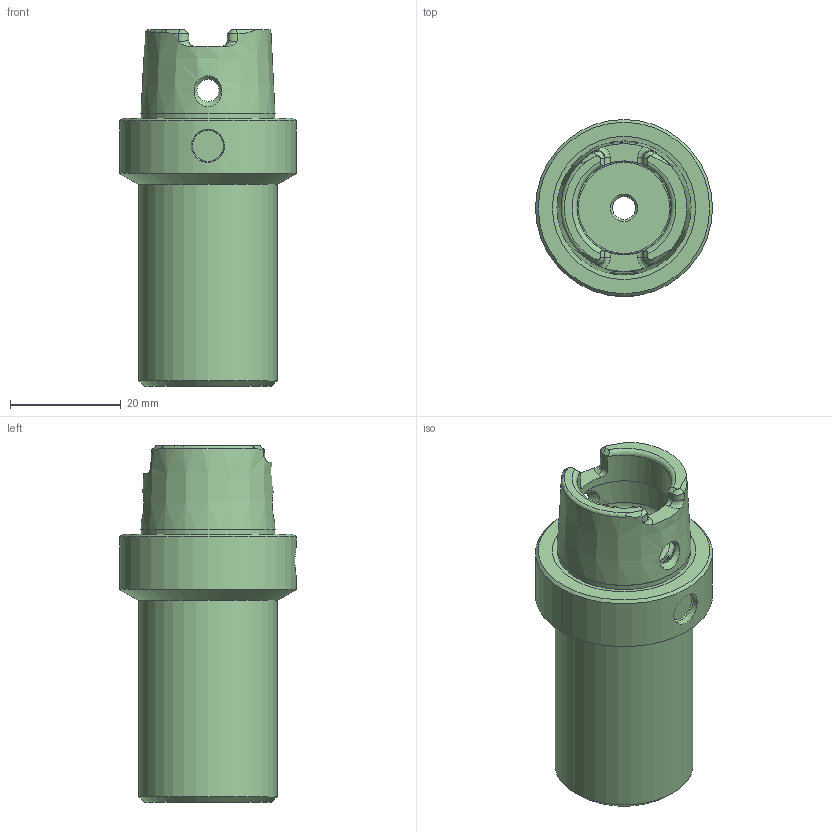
import cadquery as cq
import math

rim_height = 16.0
taper_slope = 1 / 20
gauge_radius = 24.007 / 2
gauge_height = 3.2
taper_start = 0.8
neck_radius = 24.13 / 2
relief_radius = 12.95
relief_depth = 0.15
rim_outer_fillet = 0.6
rim_inner_fillet = 0.9

flange_radius = 32.0 / 2
flange_bottom = -10.0
flange_chamfer = 0.5
body_radius = 25.0 / 2
body_top = -12.0
body_bottom = rim_height - 64.5
body_chamfer = 1.0

bore_radius = 17.0 / 2
undercut_radius = 20.5 / 2
lip_height = 9.4
lip_angle = 30.0
floor_height = 1.35
floor_fillet = 2.0
coolant_radius = 4.2 / 2
coolant_chamfer = 0.4

slot_width = 7.0
front_slot_depth = 3.0
rear_slot_depth = 5.0
slot_mouth_fillet = 1.3
slot_floor_fillet = 1.0
slot_chamfer = 0.8
slot_chamfer_gap = 0.03
slot_inner_end = bore_radius / 2

cross_hole_radius = 4.0 / 2
cross_hole_height = 5.0
countersink_rise = 0.8
pocket_radius = 6.0 / 2
pocket_height = flange_bottom / 2
pocket_depth = 1.5
pocket_floor_chamfer = 0.2

clearance = 2.0
slots = ((-1, front_slot_depth), (1, rear_slot_depth))


def taper_radius(height):
    return gauge_radius + (gauge_height - height) * taper_slope


def around_z(points):
    """Solid turned about Z from (radius, height) points."""
    profile = cq.Workplane("XZ").polyline(points).close()
    return profile.revolve(360, (0, 0, 0), (0, 1, 0))


def around_y(points, height):
    """Solid turned about an axis along Y at the given height, from (radius, y) points."""
    profile = cq.Workplane("XY").polyline(points).close()
    return profile.revolve(360, (0, 0, 0), (0, 1, 0)).translate((0, 0, height))


def near(x, y, z, reach):
    """Selector of the edges whose centre lies close to a point."""
    return cq.selectors.BoxSelector(
        (x - reach, y - reach, z - reach),
        (x + reach, y + reach, z + reach),
    )


def make_outside():
    return around_z([
        (0, body_bottom),
        (body_radius - body_chamfer, body_bottom),
        (body_radius, body_bottom + body_chamfer),
        (body_radius, body_top),
        (flange_radius, flange_bottom),
        (flange_radius, -flange_chamfer),
        (flange_radius - flange_chamfer, 0),
        (relief_radius, 0),
        (neck_radius, -relief_depth),
        (neck_radius, taper_start),
        (taper_radius(taper_start), taper_start),
        (taper_radius(rim_height), rim_height),
        (0, rim_height),
    ])


def make_bore():
    lip_drop = (undercut_radius - bore_radius) * math.tan(math.radians(lip_angle))
    pocket = around_z([
        (0, floor_height),
        (undercut_radius, floor_height),
        (undercut_radius, lip_height - lip_drop),
        (bore_radius, lip_height),
        (bore_radius, rim_height),
        (0, rim_height),
    ])
    pocket = pocket.faces("<Z").edges().fillet(floor_fillet)
    coolant_hole = around_z([
        (0, body_bottom),
        (coolant_radius, body_bottom),
        (coolant_radius, floor_height - coolant_chamfer),
        (coolant_radius + coolant_chamfer, floor_height),
        (0, floor_height),
    ])
    return pocket.union(coolant_hole)


def make_rim_round(radius, centre_x, wall_angle, far_radius):
    """Ring tool that rounds the rim from its top face to a wall with the given outward normal."""
    centre_z = rim_height - radius
    middle_angle = (wall_angle + math.pi / 2) / 2
    wall_point = (centre_x + radius * math.cos(wall_angle), centre_z + radius * math.sin(wall_angle))
    middle = (centre_x + radius * math.cos(middle_angle), centre_z + radius * math.sin(middle_angle))
    return (
        cq.Workplane("XZ")
        .moveTo(centre_x, rim_height)
        .threePointArc(middle, wall_point)
        .lineTo(far_radius, wall_point[1])
        .lineTo(far_radius, rim_height + clearance)
        .lineTo(centre_x, rim_height + clearance)
        .close()
        .revolve(360, (0, 0, 0), (0, 1, 0))
    )


def round_rim(part):
    taper_angle = math.atan(taper_slope)
    outer_wall = taper_radius(rim_height - rim_outer_fillet)
    outer_centre = outer_wall - rim_outer_fillet / math.cos(taper_angle)
    part = part.cut(make_rim_round(rim_outer_fillet, outer_centre, taper_angle, flange_radius))
    inner_centre = bore_radius + rim_inner_fillet
    return part.cut(make_rim_round(rim_inner_fillet, inner_centre, math.pi, slot_inner_end))


def mouth_arc_y(outer_radius):
    """Distance from the X axis of the mouth arc centre, the arc being tangent to the outer radius."""
    return math.sqrt((outer_radius - slot_mouth_fillet) ** 2 - (slot_width / 2 + slot_mouth_fillet) ** 2)


def cut_slot(part, side, depth):
    """Slot through the rim, with its walls rounded into the taper and into its floor."""
    slot_floor = rim_height - depth
    length = flange_radius - slot_inner_end
    tool = cq.Workplane("XY", origin=(0, side * (slot_inner_end + length / 2), slot_floor))
    part = part.cut(tool.rect(slot_width, length).extrude(depth))

    wall_x = slot_width / 2
    middle = rim_height - depth / 2
    mouth_y = side * math.sqrt(taper_radius(middle) ** 2 - wall_x ** 2)
    bore_y = math.sqrt(bore_radius ** 2 - wall_x ** 2)
    arc_y = mouth_arc_y(taper_radius(slot_floor))
    wall_y = side * (bore_y + arc_y) / 2
    for x in (-wall_x, wall_x):
        part = part.edges(near(x, mouth_y, middle, 0.3)).fillet(slot_mouth_fillet)
    for x in (-wall_x, wall_x):
        part = part.edges(near(x, wall_y, slot_floor, 0.3)).fillet(slot_floor_fillet)
    return part


def make_slot_chamfer(side):
    """Tool widening at 45 degrees that breaks the top edges of a slot and of its rounded mouth."""
    wall_x = slot_width / 2
    start_height = rim_height - slot_chamfer
    outer_radius = taper_radius(start_height) + slot_chamfer_gap
    arc_x = wall_x + slot_mouth_fillet
    arc_y = mouth_arc_y(outer_radius)
    tangent_angle = math.atan2(arc_x, arc_y)
    mid_angle = (tangent_angle - math.pi / 2) / 2
    mid_x = arc_x + slot_mouth_fillet * math.sin(mid_angle)
    mid_y = arc_y + slot_mouth_fillet * math.cos(mid_angle)
    tangent_x = outer_radius * math.sin(tangent_angle)
    tangent_y = outer_radius * math.cos(tangent_angle)
    end_x = outer_radius
    end_y = tangent_y - (end_x - tangent_x) * math.tan(tangent_angle)
    outer_y = outer_radius + clearance
    outline = (
        cq.Workplane("XY", origin=(0, 0, start_height))
        .moveTo(wall_x, slot_inner_end)
        .lineTo(wall_x, arc_y)
        .threePointArc((mid_x, mid_y), (tangent_x, tangent_y))
        .lineTo(end_x, end_y)
        .lineTo(end_x, outer_y)
        .lineTo(-end_x, outer_y)
        .lineTo(-end_x, end_y)
        .lineTo(-tangent_x, tangent_y)
        .threePointArc((-mid_x, mid_y), (-wall_x, arc_y))
        .lineTo(-wall_x, slot_inner_end)
        .close()
    )
    tool = outline.extrude(slot_chamfer, taper=-45)
    return tool if side > 0 else tool.rotate((0, 0, 0), (0, 0, 1), 180)


def make_cross_hole(side):
    """Radial hole through the shank wall, countersunk at both ends."""
    outer_y = taper_radius(cross_hole_height)
    wide_radius = cross_hole_radius + countersink_rise + clearance
    inner_end = undercut_radius - clearance
    return around_y([
        (0, side * inner_end),
        (wide_radius, side * inner_end),
        (cross_hole_radius, side * (undercut_radius + countersink_rise)),
        (cross_hole_radius, side * (outer_y - countersink_rise)),
        (wide_radius, side * (outer_y + clearance)),
        (0, side * (outer_y + clearance)),
    ], cross_hole_height)


def make_flange_pocket():
    """Blind round pocket in the -Y side of the flange, chamfered at its floor."""
    floor_y = pocket_depth - flange_radius
    return around_y([
        (0, floor_y),
        (pocket_radius - pocket_floor_chamfer, floor_y),
        (pocket_radius, floor_y - pocket_floor_chamfer),
        (pocket_radius, -flange_radius - clearance),
        (0, -flange_radius - clearance),
    ], pocket_height)


result = make_outside().cut(make_bore())
for side, depth in slots:
    result = cut_slot(result, side, depth)
result = round_rim(result)
for side, depth in slots:
    result = result.cut(make_slot_chamfer(side))
    result = result.cut(make_cross_hole(side))
result = result.cut(make_flange_pocket())